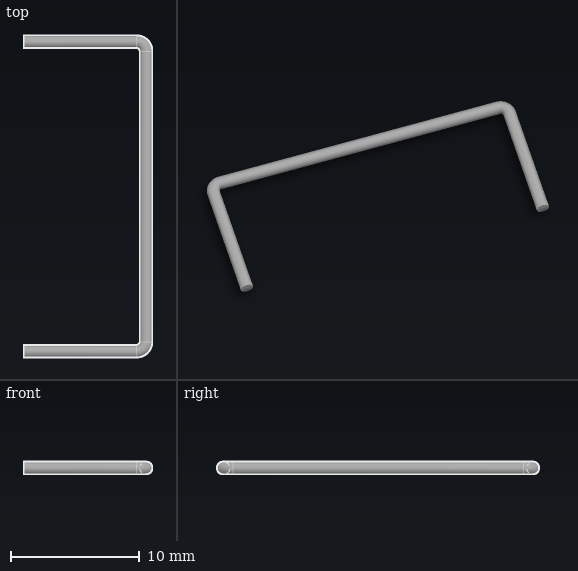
import cadquery as cq

span_y = 25.0
depth_x = 10.0
wire_diameter = 1.0
bend_radius = 0.75

wire_radius = wire_diameter / 2

leg_end_x = -depth_x / 2
back_x = depth_x / 2 - wire_radius
leg_y = span_y / 2 - wire_radius
bend_start_x = back_x - bend_radius
bend_end_y = leg_y - bend_radius

centreline = (
    cq.Workplane("XY")
    .moveTo(leg_end_x, -leg_y)
    .lineTo(bend_start_x, -leg_y)
    .radiusArc((back_x, -bend_end_y), -bend_radius)
    .lineTo(back_x, bend_end_y)
    .radiusArc((bend_start_x, leg_y), -bend_radius)
    .lineTo(leg_end_x, leg_y)
)

result = (
    cq.Workplane("YZ", origin=(leg_end_x, -leg_y, 0))
    .circle(wire_radius)
    .sweep(centreline)
)